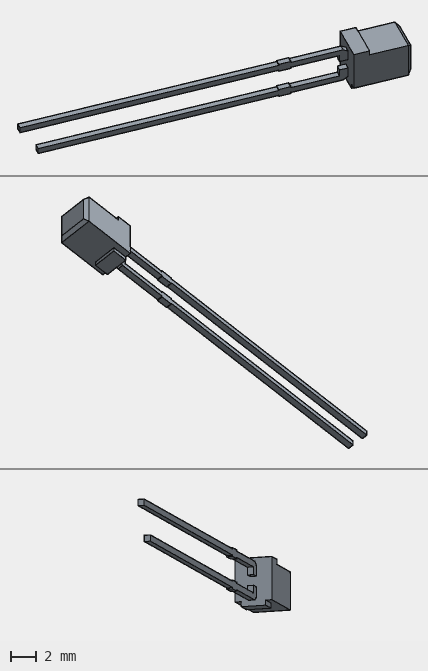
import cadquery as cq


body_size = 3.0
body_length = 4.8
tip_chamfer = 0.3
flange_length = 1.3
flange_height = 0.4
bottom_flange_width = 2.0

lead_pitch = 2.54
lead_thickness = 0.5
long_lead_length = 27.0
short_lead_length = 25.5
foot_length = 0.7
foot_inner_offset = 0.42
foot_chamfer_length = 0.4
foot_chamfer_height = 0.25
stop_thickness = 0.7
stop_start = 4.7
stop_length = 1.0


def box_between(width, y_start, y_end, z_start, z_end):
    """Box centred on X = 0 that fills the given Y and Z spans."""
    return (
        cq.Workplane("XY")
        .box(width, y_end - y_start, z_end - z_start, centered=(True, False, False))
        .translate((0, y_start, z_start))
    )


def make_package():
    """Square body with a chamfered tip and a flange above and below its rear end."""
    half_size = body_size / 2
    outer_z = half_size + flange_height
    body = box_between(body_size, 0, body_length, -half_size, half_size)
    body = body.faces(">Y").chamfer(tip_chamfer)
    top_flange = box_between(body_size, 0, flange_length, half_size, outer_z)
    bottom_flange = box_between(bottom_flange_width, 0, flange_length, -outer_z, -half_size)
    return body.union(top_flange).union(bottom_flange)


def make_upper_lead(length):
    """Lead above Z = 0: a foot with a chamfered outer corner, a straight wire and a stop."""
    centre_z = lead_pitch / 2
    outer_z = centre_z + lead_thickness / 2
    inner_z = centre_z - lead_thickness / 2
    profile = [
        (0, foot_inner_offset),
        (0, outer_z - foot_chamfer_height),
        (-foot_chamfer_length, outer_z),
        (-length, outer_z),
        (-length, inner_z),
        (-foot_length, inner_z),
        (-foot_length, foot_inner_offset),
    ]
    wire = cq.Workplane("YZ").polyline(profile).close().extrude(lead_thickness / 2, both=True)
    stop = box_between(
        lead_thickness,
        -stop_start - stop_length,
        -stop_start,
        centre_z - stop_thickness / 2,
        centre_z + stop_thickness / 2,
    )
    return wire.union(stop)


long_lead = make_upper_lead(long_lead_length)
short_lead = make_upper_lead(short_lead_length).mirror("XY")
result = make_package().union(long_lead).union(short_lead)